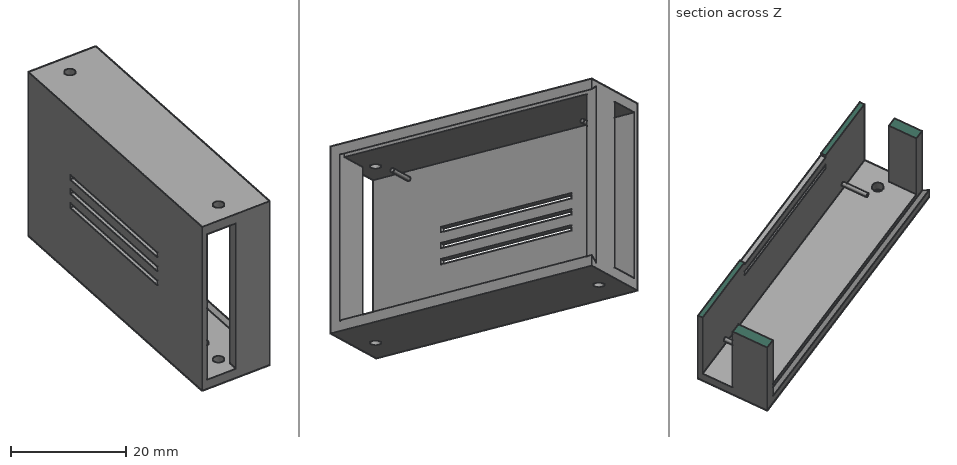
import cadquery as cq

LENGTH = 55.0
DEPTH = 14.0
HEIGHT = 35.0

FRONT_WALL = 1.0
SIDE_WALL = 2.0
END_WALL = 2.0

GROOVE_DEPTH = 1.4
GROOVE_MOUTH_HEIGHT = 31.0
GROOVE_FLOOR_HEIGHT = 33.0

WINDOW_TOP = 7.0

SLOT_COUNT = 3
SLOT_LENGTH = 27.5
SLOT_WIDTH = 1.0
SLOT_PITCH = 3.0
SLOT_CENTER_X = -0.5

HOLE_DIAMETER = 2.0
HOLE_SPACING = 47.0
HOLE_Y = 6.0

PIN_DIAMETER = 0.8
PIN_LENGTH = 5.0
PIN_SPACING_X = 40.0
PIN_SPACING_Z = 28.0

CAVITY_LENGTH = LENGTH - 2 * END_WALL
CAVITY_HEIGHT = HEIGHT - 2 * SIDE_WALL


def make_block(length, depth, height, front_y):
    """Block centred in X and Z whose front face lies at front_y."""
    block = cq.Workplane("XY").box(length, depth, height, centered=(True, False, True))
    return block.translate((0, front_y, 0))


def make_shell():
    """Box open at the back."""
    outer = make_block(LENGTH, DEPTH, HEIGHT, 0)
    cavity = make_block(CAVITY_LENGTH, DEPTH - FRONT_WALL, CAVITY_HEIGHT, FRONT_WALL)
    return outer.cut(cavity)


def make_end_windows():
    """Opening through both end walls, between the front wall and the end bars."""
    return make_block(LENGTH, WINDOW_TOP - FRONT_WALL, CAVITY_HEIGHT, FRONT_WALL)


def make_lid_groove():
    """Dovetail that enters at the -X end and stops at the +X end wall."""
    mouth = GROOVE_MOUTH_HEIGHT / 2
    floor = GROOVE_FLOOR_HEIGHT / 2
    floor_y = DEPTH - GROOVE_DEPTH
    profile = [(DEPTH, -mouth), (floor_y, -floor), (floor_y, floor), (DEPTH, mouth)]
    groove = cq.Workplane("YZ").polyline(profile).close().extrude(LENGTH - END_WALL)
    return groove.translate((-LENGTH / 2, 0, 0))


def make_vent_slots():
    """Row of horizontal slots through the front wall."""
    return (
        cq.Workplane("XZ")
        .center(SLOT_CENTER_X, 0)
        .rarray(1, SLOT_PITCH, 1, SLOT_COUNT)
        .rect(SLOT_LENGTH, SLOT_WIDTH)
        .extrude(-FRONT_WALL)
    )


def make_screw_holes():
    """Vertical holes near both ends, through the top and bottom walls."""
    return (
        cq.Workplane("XY", origin=(0, HOLE_Y, -HEIGHT / 2))
        .rarray(HOLE_SPACING, 1, 2, 1)
        .circle(HOLE_DIAMETER / 2)
        .extrude(HEIGHT)
    )


def make_board_pins():
    """Four pins rooted in the front wall."""
    return (
        cq.Workplane("XZ")
        .rarray(PIN_SPACING_X, PIN_SPACING_Z, 2, 2)
        .circle(PIN_DIAMETER / 2)
        .extrude(-(FRONT_WALL + PIN_LENGTH))
    )


result = (
    make_shell()
    .cut(make_end_windows())
    .cut(make_lid_groove())
    .cut(make_vent_slots())
    .cut(make_screw_holes())
    .union(make_board_pins())
)